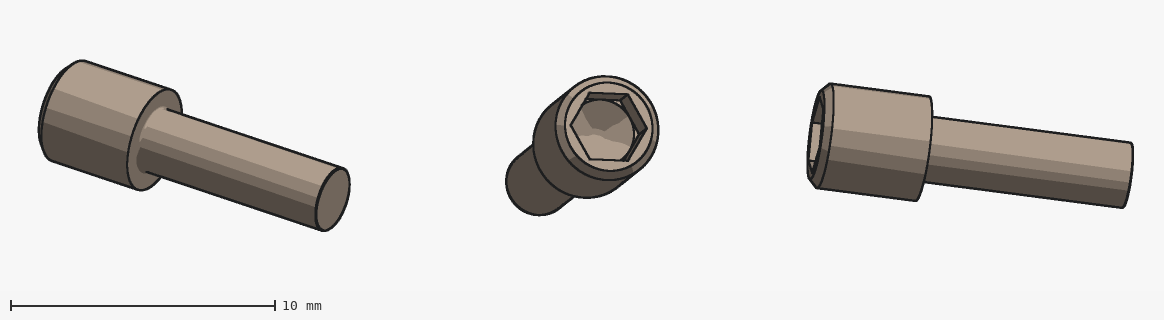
import cadquery as cq
import math

total_length = 12.0
head_diameter = 4.0
head_length = 4.1
head_chamfer = 0.3
shank_diameter = 2.5
neck_fillet = 0.1
tip_chamfer = 0.03
hex_across_flats = 2.56
socket_depth = 1.3
socket_cone_angle = 120.0

head_radius = head_diameter / 2
shank_radius = shank_diameter / 2
hex_across_corners = hex_across_flats / math.cos(math.radians(30))
cone_radius = hex_across_flats / 2
cone_depth = cone_radius / math.tan(math.radians(socket_cone_angle / 2))


def make_body():
    """Head and shank turned about the X axis, with a concave fillet under the head."""
    arc_inset = neck_fillet * (1 - math.sqrt(0.5))
    return (
        cq.Workplane("XY")
        .moveTo(0, 0)
        .lineTo(0, head_radius - head_chamfer)
        .lineTo(head_chamfer, head_radius)
        .lineTo(head_length, head_radius)
        .lineTo(head_length, shank_radius + neck_fillet)
        .threePointArc(
            (head_length + arc_inset, shank_radius + arc_inset),
            (head_length + neck_fillet, shank_radius),
        )
        .lineTo(total_length - tip_chamfer, shank_radius)
        .lineTo(total_length, shank_radius - tip_chamfer)
        .lineTo(total_length, 0)
        .close()
        .revolve(360, (0, 0, 0), (1, 0, 0))
    )


def make_socket():
    """Hexagonal socket, two corners on the Y axis, with a drill-point bottom."""
    hexagon = cq.Workplane("YZ").polygon(6, hex_across_corners).extrude(socket_depth)
    drill_point = (
        cq.Workplane("XY")
        .moveTo(socket_depth, 0)
        .lineTo(socket_depth, cone_radius)
        .lineTo(socket_depth + cone_depth, 0)
        .close()
        .revolve(360, (0, 0, 0), (1, 0, 0))
    )
    return hexagon.union(drill_point)


result = make_body().cut(make_socket())